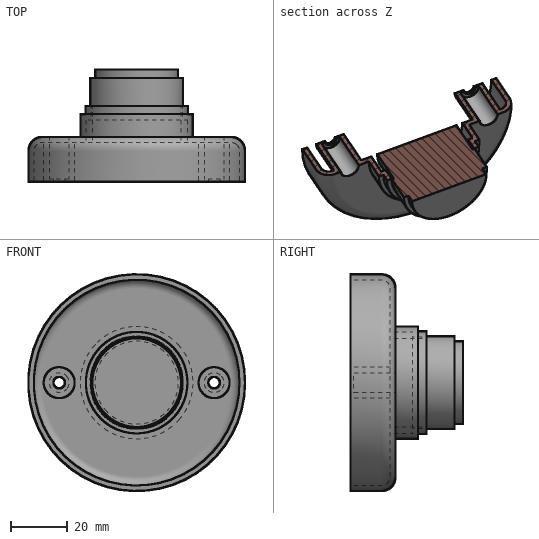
import cadquery as cq


BOWL_DIAMETER = 77.0
BOWL_DEPTH = 16.0
WALL = 2.0
OUTER_FILLET = 5.0
INNER_FILLET = OUTER_FILLET - WALL
FLOOR_Y = BOWL_DEPTH - WALL

COLLAR_DIAMETER = 40.0
COLLAR_END_Y = 24.0
SPIGOT_DIAMETER = 36.5
SPIGOT_LENGTH = 3.0
SPIGOT_END_Y = COLLAR_END_Y + SPIGOT_LENGTH
COLLAR_BORE_DIAMETER = 36.0
COLLAR_BORE_END_Y = COLLAR_END_Y - WALL
SPIGOT_BORE_DIAMETER = SPIGOT_DIAMETER - 2 * WALL

BOSS_DIAMETER = 11.0
BOSS_HOLE_DIAMETER = 4.0
BOSS_COUNTERBORE_DIAMETER = 7.0
BOSS_FRONT_THICKNESS = 1.0
BOSS_OFFSET = 27.5
BOSS_FRONT_Y = 0.0
COUNTERBORE_START_Y = BOSS_FRONT_Y + BOSS_FRONT_THICKNESS

STEM_DIAMETER = 31.5
STEM_FRONT_Y = FLOOR_Y
HEAD_DIAMETER = 33.0
TIP_DIAMETER = 29.5
TIP_LENGTH = 3.0
TOTAL_DEPTH = 40.0
HEAD_END_Y = TOTAL_DEPTH - TIP_LENGTH


def disc(diameter, start_y, end_y, center_x=0.0):
    """Cylinder parallel to Y between two Y positions."""
    plane = cq.Workplane("XZ", origin=(center_x, start_y, 0))
    return plane.circle(diameter / 2).extrude(start_y - end_y)


def make_bowl():
    """Open round bowl with a rounded back edge inside and out."""
    outside = disc(BOWL_DIAMETER, 0, BOWL_DEPTH).faces(">Y").edges().fillet(OUTER_FILLET)
    cavity = disc(BOWL_DIAMETER - 2 * WALL, 0, FLOOR_Y).faces(">Y").edges().fillet(INNER_FILLET)
    return outside.cut(cavity)


def add_neck(body):
    """Add the collar and spigot, then bore them in two steps."""
    body = body.union(disc(COLLAR_DIAMETER, FLOOR_Y, COLLAR_END_Y))
    body = body.union(disc(SPIGOT_DIAMETER, FLOOR_Y, SPIGOT_END_Y))
    body = body.cut(disc(COLLAR_BORE_DIAMETER, FLOOR_Y, COLLAR_BORE_END_Y))
    return body.cut(disc(SPIGOT_BORE_DIAMETER, FLOOR_Y, SPIGOT_END_Y))


def add_boss(body, center_x):
    """Add a screw boss on the bowl floor, drilled through and counterbored from the back."""
    body = body.union(disc(BOSS_DIAMETER, BOSS_FRONT_Y, BOWL_DEPTH, center_x))
    body = body.cut(disc(BOSS_HOLE_DIAMETER, BOSS_FRONT_Y, BOWL_DEPTH, center_x))
    return body.cut(disc(BOSS_COUNTERBORE_DIAMETER, COUNTERBORE_START_Y, BOWL_DEPTH, center_x))


def make_housing():
    """Bowl, neck and the two screw bosses as one body."""
    body = add_neck(make_bowl())
    for center_x in (-BOSS_OFFSET, BOSS_OFFSET):
        body = add_boss(body, center_x)
    return body


def make_plug():
    """Stem, head and tip as one body."""
    stem = disc(STEM_DIAMETER, STEM_FRONT_Y, SPIGOT_END_Y)
    head = disc(HEAD_DIAMETER, SPIGOT_END_Y, HEAD_END_Y)
    tip = disc(TIP_DIAMETER, HEAD_END_Y, TOTAL_DEPTH)
    return stem.union(head).union(tip)


housing = make_housing()
plug = make_plug()

result = cq.Compound.makeCompound([housing.val(), plug.val()])